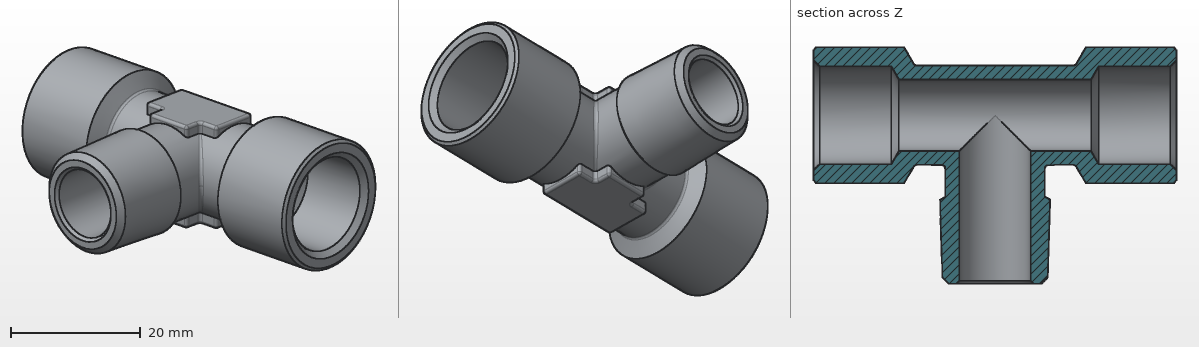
import cadquery as cq
import math

run_half_length = 28.0
pipe_radius = 7.7
bore_radius = 5.5
socket_radius = 10.5
socket_length = 14.0
socket_lip_axial = 0.4
socket_lip_radial = 0.5
shoulder_slope = math.radians(30)
shoulder_fillet = 0.5

thread_bore_radius = 7.55
thread_bore_depth = 12.0
mouth_radius = 8.5

branch_length = 26.0
spigot_length = 13.0
spigot_root_radius = 8.52
thread_taper = 1 / 16
spigot_tip_chamfer = 1.0
branch_mouth_chamfer = 0.5

pad_height = 8.5
pad_half_width = 7.5
pad_half_depth = 4.0
pad_leg_half_width = 4.0
pad_leg_reach = 7.0
pad_edge_fillet = 0.5
pad_corner_fillet = 0.5
junction_fillet = 0.5

selection_margin = 0.1


def shoulder_run(radial_step):
    """Axial length of a conical shoulder that climbs by radial_step."""
    return radial_step * math.tan(shoulder_slope)


def make_half_run():
    """Half of the run on the +X side, as a solid of revolution about X."""
    socket_start = run_half_length - socket_length
    shoulder_start = socket_start - shoulder_run(socket_radius - pipe_radius)
    half = (
        cq.Workplane("XY")
        .moveTo(0, 0)
        .lineTo(0, pipe_radius)
        .lineTo(shoulder_start, pipe_radius)
        .lineTo(socket_start, socket_radius)
        .lineTo(run_half_length - socket_lip_axial, socket_radius)
        .lineTo(run_half_length, socket_radius - socket_lip_radial)
        .lineTo(run_half_length, 0)
        .close()
        .revolve(360, (0, 0, 0), (1, 0, 0))
    )
    shoulder_root = cq.selectors.BoxSelector(
        (shoulder_start - selection_margin, -socket_radius, -socket_radius),
        (shoulder_start + selection_margin, socket_radius, socket_radius),
        boundingbox=True,
    )
    return half.edges(shoulder_root).fillet(shoulder_fillet)


def make_socket_cavity():
    """Bore, conical hole bottom, thread bore and mouth countersink on the +X side."""
    cavity_bottom = run_half_length - thread_bore_depth
    bottom_cone_end = cavity_bottom - shoulder_run(thread_bore_radius - bore_radius)
    mouth_depth = mouth_radius - thread_bore_radius
    return (
        cq.Workplane("XY")
        .moveTo(0, 0)
        .lineTo(0, bore_radius)
        .lineTo(bottom_cone_end, bore_radius)
        .lineTo(cavity_bottom, thread_bore_radius)
        .lineTo(run_half_length - mouth_depth, thread_bore_radius)
        .lineTo(run_half_length, mouth_radius)
        .lineTo(run_half_length, 0)
        .close()
        .revolve(360, (0, 0, 0), (1, 0, 0))
    )


def make_branch():
    """Pipe, shoulder and tapered spigot, as a solid of revolution about Y."""
    spigot_start = branch_length - spigot_length
    shoulder_start = spigot_start - shoulder_run(spigot_root_radius - pipe_radius)
    taper_length = spigot_length - spigot_tip_chamfer
    spigot_tip_radius = spigot_root_radius - taper_length * thread_taper / 2
    return (
        cq.Workplane("XY")
        .moveTo(0, 0)
        .lineTo(pipe_radius, 0)
        .lineTo(pipe_radius, -shoulder_start)
        .lineTo(spigot_root_radius, -spigot_start)
        .lineTo(spigot_tip_radius, spigot_tip_chamfer - branch_length)
        .lineTo(spigot_tip_radius - spigot_tip_chamfer, -branch_length)
        .lineTo(0, -branch_length)
        .close()
        .revolve(360, (0, 0, 0), (0, 1, 0))
    )


def make_branch_bore():
    """Bore of the branch with its chamfered mouth, about Y."""
    return (
        cq.Workplane("XY")
        .moveTo(0, 0)
        .lineTo(bore_radius, 0)
        .lineTo(bore_radius, branch_mouth_chamfer - branch_length)
        .lineTo(bore_radius + branch_mouth_chamfer, -branch_length)
        .lineTo(0, -branch_length)
        .close()
        .revolve(360, (0, 0, 0), (0, 1, 0))
    )


def make_pads():
    """T-shaped block whose two ends stand out as pads above and below the junction."""
    bar = cq.Workplane("XY").box(2 * pad_half_width, 2 * pad_half_depth, 2 * pad_height)
    leg = (
        cq.Workplane("XY")
        .box(2 * pad_leg_half_width, pad_leg_reach, 2 * pad_height)
        .translate((0, -pad_leg_reach / 2, 0))
    )
    block = bar.union(leg).edges("|Z").fillet(pad_corner_fillet)
    return block.faces("|Z").edges().fillet(pad_edge_fillet)


def fillet_junction(body):
    """Round the creases where the branch pipe meets the run pipe."""
    reach = pipe_radius + selection_margin
    creases = cq.selectors.BoxSelector(
        (-reach, -reach, -pipe_radius),
        (reach, -pad_half_depth, pipe_radius),
    )
    return body.edges("%ELLIPSE").edges(creases).fillet(junction_fillet)


half_run = make_half_run()
cavity = make_socket_cavity()
body = half_run.union(half_run.mirror("YZ")).union(make_branch()).union(make_pads())
body = fillet_junction(body)
result = body.cut(cavity).cut(cavity.mirror("YZ")).cut(make_branch_bore())